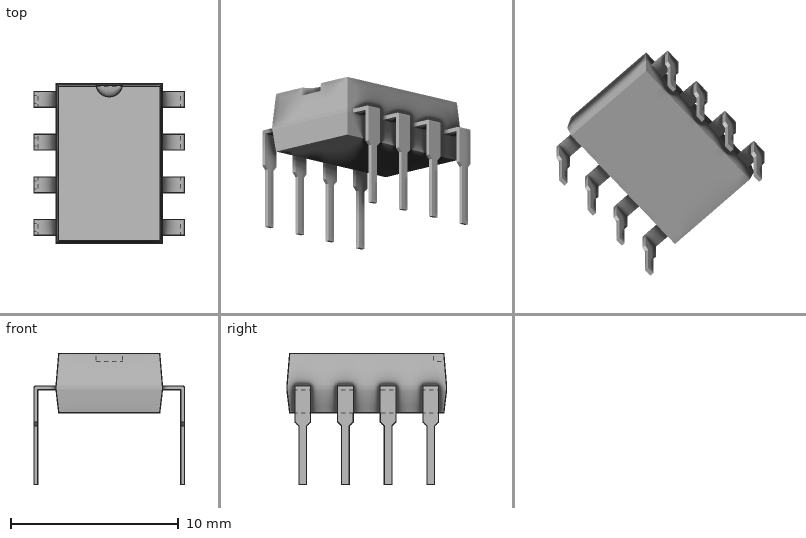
import cadquery as cq
import math

BODY_LENGTH = 9.52
BODY_WIDTH = 6.35
UPPER_HEIGHT = 1.94
LOWER_HEIGHT = 1.36
DRAFT_INSET = 0.16

NOTCH_RADIUS = 0.79
NOTCH_DEPTH = 0.495

LEAD_SPAN = 8.99
LEAD_HEIGHT = 5.87
LEAD_THICKNESS = 0.24
LEAD_WIDTH = 0.95
TIP_WIDTH = 0.48
WIDE_LENGTH = 2.14
BEND_RADIUS = 0.11
LEAD_PITCH = 2.54
LEADS_PER_ROW = 4

band_top = LEAD_HEIGHT
band_bottom = band_top - LEAD_THICKNESS
body_top = band_top + UPPER_HEIGHT


def drafted_half(start_height, height):
    """Tapered block leaving the waist; a negative height builds it downwards."""
    draft_angle = math.degrees(math.atan(DRAFT_INSET / abs(height)))
    return (
        cq.Workplane("XY", origin=(0, 0, start_height))
        .rect(BODY_WIDTH, BODY_LENGTH)
        .extrude(height, taper=draft_angle)
    )


def make_body():
    """Moulded package with the half-round notch cut into its top edge."""
    band = (
        cq.Workplane("XY", origin=(0, 0, band_bottom))
        .rect(BODY_WIDTH, BODY_LENGTH)
        .extrude(LEAD_THICKNESS)
    )
    notch = (
        cq.Workplane("XY", origin=(0, BODY_LENGTH / 2, body_top))
        .circle(NOTCH_RADIUS)
        .extrude(-NOTCH_DEPTH)
    )
    upper_half = drafted_half(band_top, UPPER_HEIGHT)
    lower_half = drafted_half(band_bottom, -LOWER_HEIGHT)
    return band.union(upper_half).union(lower_half).cut(notch)


def make_lead(y_center):
    """Lead on the -X side, butting against the waist band of the body."""
    outer_x = -LEAD_SPAN / 2
    inner_x = outer_x + LEAD_THICKNESS
    body_x = -BODY_WIDTH / 2

    bent_strip = (
        cq.Workplane("XZ", origin=(0, y_center + LEAD_WIDTH / 2, 0))
        .moveTo(outer_x, 0)
        .lineTo(outer_x, band_top - BEND_RADIUS)
        .radiusArc((outer_x + BEND_RADIUS, band_top), BEND_RADIUS)
        .lineTo(body_x, band_top)
        .lineTo(body_x, band_bottom)
        .lineTo(inner_x, band_bottom)
        .lineTo(inner_x, 0)
        .close()
        .extrude(LEAD_WIDTH)
    )

    taper_start = band_top - WIDE_LENGTH
    taper_end = taper_start - (LEAD_WIDTH - TIP_WIDTH) / 2
    face_outline = (
        cq.Workplane("YZ", origin=(outer_x, y_center, 0))
        .moveTo(-TIP_WIDTH / 2, 0)
        .lineTo(-TIP_WIDTH / 2, taper_end)
        .lineTo(-LEAD_WIDTH / 2, taper_start)
        .lineTo(-LEAD_WIDTH / 2, band_top)
        .lineTo(LEAD_WIDTH / 2, band_top)
        .lineTo(LEAD_WIDTH / 2, taper_start)
        .lineTo(TIP_WIDTH / 2, taper_end)
        .lineTo(TIP_WIDTH / 2, 0)
        .close()
        .extrude(body_x - outer_x)
    )
    return bent_strip.intersect(face_outline)


body = make_body()

leads = []
for index in range(LEADS_PER_ROW):
    lead_y = (index - (LEADS_PER_ROW - 1) / 2) * LEAD_PITCH
    left_lead = make_lead(lead_y)
    right_lead = left_lead.mirror("YZ")
    leads.append(left_lead.val())
    leads.append(right_lead.val())

result = cq.Compound.makeCompound([body.val(), *leads])